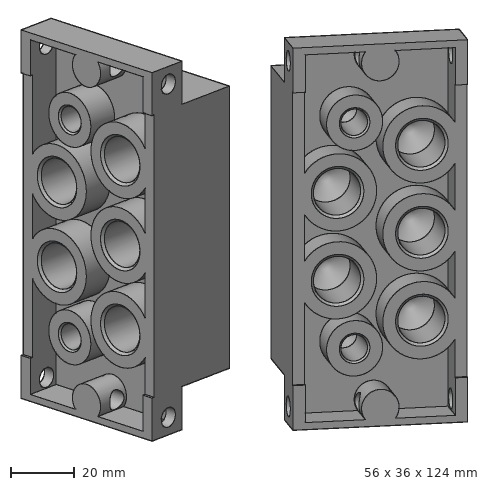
import cadquery as cq
import math

width = 56.0
height = 124.0
depth = 36.0

flange_depth = 14.0
body_height = 95.0
rail_recess = 1.0

side_wall = 4.0
end_wall = 2.4
pocket_depth = 12.0

cross_hole_diameter = 6.6
cross_hole_inset = 6.0
cross_hole_setback = 7.6
post_diameter = 12.0

large_boss_diameter = 25.0
large_bore_diameter = 15.1
large_chamfer = 0.9
large_column_x = 13.5
large_pitch = 28.5
small_boss_diameter = 18.0
small_bore_diameter = 8.5
small_chamfer = 0.6
small_x = -8.0
small_z = 36.6

bore_depth = 18.0
drill_point_angle = 118.0

large_ports = [(large_column_x, row * large_pitch) for row in (-1, 0, 1)]
large_ports += [(-large_column_x, side * large_pitch / 2) for side in (-1, 1)]
small_ports = [(small_x, side * small_z) for side in (-1, 1)]


def block(size_x, size_z, front_y, back_y):
    """Box centred in X and Z, spanning the given range of Y."""
    size_y = back_y - front_y
    return cq.Workplane("XY").box(size_x, size_y, size_z).translate((0, front_y + size_y / 2, 0))


def cylinders(places, diameter, front_y, back_y):
    """Round pillars along Y at the given (x, z) places."""
    start = cq.Workplane("XZ", origin=(0, front_y, 0))
    return start.pushPoints(places).circle(diameter / 2).extrude(front_y - back_y)


def port_bore(place, diameter, chamfer):
    """Blind bore with a chamfered mouth at the rail face and a conical end."""
    x, z = place
    radius = diameter / 2
    bore_end = rail_recess + bore_depth
    point_length = radius / math.tan(math.radians(drill_point_angle / 2))
    half_section = [
        (0, rail_recess),
        (radius + chamfer, rail_recess),
        (radius, rail_recess + chamfer),
        (radius, bore_end),
        (0, bore_end + point_length),
    ]
    bore = cq.Workplane("XY").polyline(half_section).close().revolve(360, (0, 0), (0, 1))
    return bore.translate((x, 0, z))


flange = block(width, height, 0, flange_depth)
body = block(width, body_height, rail_recess, depth)
middle_recess = block(width, body_height, 0, rail_recess)
result = flange.cut(middle_recess).union(body)

result = result.cut(block(width - 2 * side_wall, height - 2 * end_wall, 0, pocket_depth))

cross_hole_z = height / 2 - cross_hole_inset
post_places = [(0, side * cross_hole_z) for side in (-1, 1)]
posts = cylinders(post_places, post_diameter, 0, pocket_depth)
result = result.union(posts.intersect(flange))
result = result.union(cylinders(large_ports, large_boss_diameter, rail_recess, pocket_depth))
result = result.union(cylinders(small_ports, small_boss_diameter, rail_recess, pocket_depth))

for port in large_ports:
    result = result.cut(port_bore(port, large_bore_diameter, large_chamfer))
for port in small_ports:
    result = result.cut(port_bore(port, small_bore_diameter, small_chamfer))

cross_holes = (
    cq.Workplane("YZ", origin=(-width / 2, 0, 0))
    .pushPoints([(cross_hole_setback, side * cross_hole_z) for side in (-1, 1)])
    .circle(cross_hole_diameter / 2)
    .extrude(width)
)
result = result.cut(cross_holes)